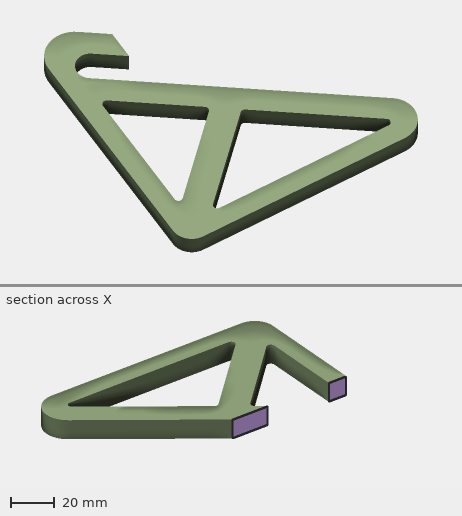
import cadquery as cq
import math

length = 132.3
height = 130.0
thickness = 10.0

wall = 10.0
sloped_wall = 12.0
slope = math.radians(53.8)
apex_radius = 12.3
corner_radius = 10.0
brace_offset = 10.0
window_radius = 2.0

hook_arm = 11.9
hook_radius = 13.9
slot_radius = 7.0
hook_tip_y = 35.0

along = (math.cos(slope), math.sin(slope))
outward = (-math.sin(slope), math.cos(slope))

apex = (length - apex_radius, height - apex_radius)


def shifted(point, direction, distance):
    """Move a point a distance along a unit direction."""
    return (point[0] + direction[0] * distance, point[1] + direction[1] * distance)


def at_y(point, y):
    """Point at height y on the sloped line through the given point."""
    return (point[0] + (y - point[1]) / math.tan(slope), y)


def at_x(point, x):
    """Point at position x on the sloped line through the given point."""
    return (x, point[1] + (x - point[0]) * math.tan(slope))


def on_brace(point, intercept):
    """Point where the sloped line meets the 45 degree line x + y = intercept."""
    base = at_y(point, 0)
    y = (intercept - base[0]) / (1 + 1 / math.tan(slope))
    return at_y(point, y)


outer_edge = shifted(apex, outward, apex_radius)
window_edge = shifted(outer_edge, outward, -sloped_wall)
slot_edge = shifted(outer_edge, outward, 2 * slot_radius)
hook_edge = shifted(slot_edge, outward, hook_arm)


def build_plate():
    """Plate outline with its hook slot."""
    slot_line = shifted(outer_edge, outward, slot_radius)
    slot_center = at_y(slot_line, wall + slot_radius)
    slot_start = shifted(slot_center, outward, slot_radius)
    slot_bottom = shifted(slot_center, along, -slot_radius)
    slot_end = shifted(slot_center, outward, -slot_radius)

    edge_center_line = shifted(hook_edge, outward, -hook_radius)
    heel_center = at_y(edge_center_line, hook_radius)
    heel_start = (heel_center[0], 0)
    heel_middle = shifted(heel_center, (-1, 0), hook_radius)
    heel_end = shifted(heel_center, outward, hook_radius)

    corner_center = (length - corner_radius, corner_radius)
    diagonal = (math.sqrt(0.5), -math.sqrt(0.5))

    return (
        cq.Workplane("XY")
        .moveTo(*heel_start)
        .threePointArc(heel_middle, heel_end)
        .lineTo(*at_y(hook_edge, hook_tip_y))
        .lineTo(*at_y(slot_edge, hook_tip_y))
        .lineTo(*slot_start)
        .threePointArc(slot_bottom, slot_end)
        .lineTo(*outer_edge)
        .threePointArc((apex[0], height), (length, apex[1]))
        .lineTo(length, corner_radius)
        .threePointArc(shifted(corner_center, diagonal, corner_radius), (corner_center[0], 0))
        .close()
        .extrude(thickness)
    )


def build_window(corners):
    """Triangular through window with rounded corners."""
    return cq.Workplane("XY").polyline(corners).close().extrude(thickness).edges("|Z").fillet(window_radius)


lower_brace = length - brace_offset
upper_brace = length + brace_offset
window_right = length - wall

lower_window = build_window([
    at_y(window_edge, wall),
    (lower_brace - wall, wall),
    on_brace(window_edge, lower_brace),
])
upper_window = build_window([
    on_brace(window_edge, upper_brace),
    (window_right, upper_brace - window_right),
    at_x(window_edge, window_right),
])

result = build_plate().cut(lower_window).cut(upper_window)